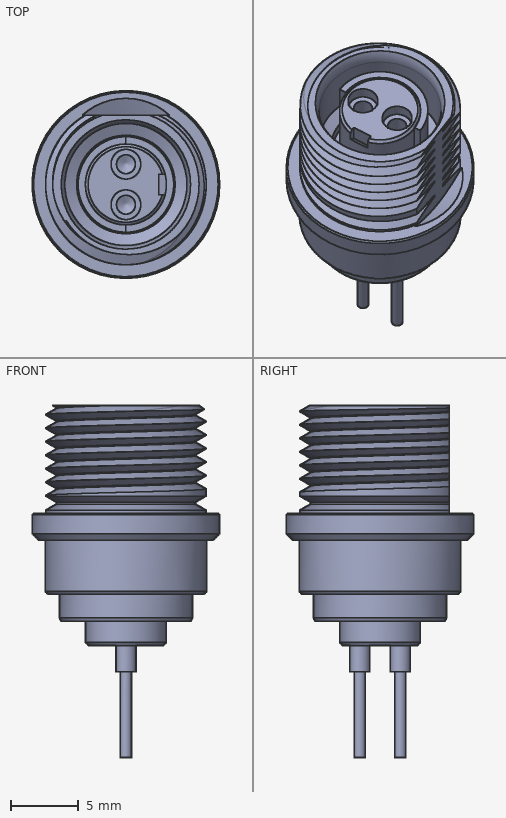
import cadquery as cq
import math


shell_top = 8.0
thread_radius = 5.95
root_radius = 5.17
thread_pitch = 1.0
root_flat = 0.08
flank_slope = math.tan(math.radians(30))
lead_in_radius = 5.42
lead_in_height = 0.42
thread_length = 6.45
thread_start_z = shell_top - thread_length
thread_start_angle = 90.0
thread_overrun = 1.0
cutter_clearance = 0.2
relief_root_bottom = 0.68
relief_root_top = 0.83
flat_y = 5.14
flange_radius = 6.95
flange_thickness = 2.0
flange_top_chamfer = 0.12
flange_bottom_chamfer = 0.5
barrel_radius = 6.0
barrel_bottom = -6.0
barrel_chamfer = 0.22

recess_center_y = 1.6
recess_radius = 4.78

cone_slope = math.tan(math.radians(30))

mouth_radius = 4.79
bore_radius = 4.52
mouth_depth = 1.0
bore_depth = 5.0
lower_bore_radius = 3.65

sleeve_radius = 4.94
sleeve_bottom = -8.0
sleeve_chamfer_width = 0.14
sleeve_chamfer_height = 0.25

insert_radius = 3.0
insert_setback = 0.83
insert_top = shell_top - insert_setback
insert_bottom = -9.8
insert_top_chamfer = 0.2
insert_bottom_chamfer = 0.24
key_depth_radial = 0.56
key_width = 1.5
key_outer_drop = 0.8

shield_radius = 3.54
shield_setback = 0.06
shield_top = insert_top - shield_setback
shield_floor = 2.0

contact_offset = 1.5
contact_radius = 1.1
contact_setback = 1.0
contact_top = insert_top - contact_setback
shoulder_height = 2.0
contact_bottom = insert_bottom + shoulder_height
socket_radius = 0.7
socket_depth = 2.0
socket_tip_depth = socket_radius * cone_slope
stem_radius = 0.75
stem_bottom = -11.75
tail_radius = 0.42
tail_bottom = -18.1


def cylinder(radius, bottom, top):
    return cq.Workplane("XY").workplane(offset=bottom).circle(radius).extrude(top - bottom)


def revolve_profile(points):
    """Turn a closed (radius, z) outline about the Z axis."""
    return cq.Workplane("XZ").polyline(points).close().revolve(360, (0, 0), (0, 1))


def thread_groove():
    """V groove on a right-hand helix, running out above the rim."""
    height = shell_top + thread_overrun - thread_start_z
    cutter_radius = thread_radius + cutter_clearance
    half_root = root_flat / 2
    half_mouth = half_root + (cutter_radius - root_radius) * flank_slope
    path = cq.Wire.makeHelix(thread_pitch, height, root_radius)
    groove = (
        cq.Workplane("XZ")
        .moveTo(root_radius, -half_root)
        .lineTo(root_radius, half_root)
        .lineTo(cutter_radius, half_mouth)
        .lineTo(cutter_radius, -half_mouth)
        .close()
        .sweep(cq.Workplane(path), isFrenet=True)
    )
    return groove.rotate((0, 0, 0), (0, 0, 1), thread_start_angle).translate((0, 0, thread_start_z))


def make_threaded_neck():
    relief_flank = (thread_radius - root_radius) * flank_slope
    neck = revolve_profile([
        (0, 0),
        (thread_radius, 0),
        (thread_radius, relief_root_bottom - relief_flank),
        (root_radius, relief_root_bottom),
        (root_radius, relief_root_top),
        (thread_radius, relief_root_top + relief_flank),
        (thread_radius, shell_top - lead_in_height),
        (lead_in_radius, shell_top),
        (0, shell_top),
    ])
    neck = neck.cut(thread_groove())
    waste = cq.Workplane("XY").box(
        2 * flange_radius, flange_radius, shell_top, centered=(True, False, False)
    )
    return neck.cut(waste.translate((0, flat_y, 0)))


def make_flange_and_barrel():
    flange_bottom = -flange_thickness
    return revolve_profile([
        (0, 0),
        (flange_radius - flange_top_chamfer, 0),
        (flange_radius, -flange_top_chamfer),
        (flange_radius, flange_bottom + flange_bottom_chamfer),
        (flange_radius - flange_bottom_chamfer, flange_bottom),
        (barrel_radius, flange_bottom),
        (barrel_radius, barrel_bottom + barrel_chamfer),
        (barrel_radius - barrel_chamfer, barrel_bottom),
        (0, barrel_bottom),
    ])


def flange_recess():
    """Conical recess in the flange, kept to the outer side of the flat."""
    depth = recess_radius * cone_slope
    cone = revolve_profile([(0, 0), (recess_radius, 0), (0, -depth)])
    outer_side = cq.Workplane("XY").box(
        2 * flange_radius, flange_radius, 2 * depth, centered=(True, False, True)
    )
    return cone.translate((0, recess_center_y, 0)).intersect(outer_side.translate((0, flat_y, 0)))


def shell_cavity():
    """Bell-mouthed bore narrowing through a cone to the lower bore."""
    flare = mouth_radius - bore_radius
    mouth_arc_radius = (flare**2 + mouth_depth**2) / (2 * flare)
    mouth_bottom = shell_top - mouth_depth
    cone_top = shell_top - bore_depth
    cone_bottom = cone_top - (bore_radius - lower_bore_radius) * cone_slope
    half_angle = math.asin(mouth_depth / mouth_arc_radius) / 2
    arc_middle = (
        bore_radius + mouth_arc_radius * (1 - math.cos(half_angle)),
        mouth_bottom + mouth_arc_radius * math.sin(half_angle),
    )
    return (
        cq.Workplane("XZ")
        .moveTo(0, barrel_bottom)
        .lineTo(lower_bore_radius, barrel_bottom)
        .lineTo(lower_bore_radius, cone_bottom)
        .lineTo(bore_radius, cone_top)
        .lineTo(bore_radius, mouth_bottom)
        .threePointArc(arc_middle, (mouth_radius, shell_top))
        .lineTo(0, shell_top)
        .close()
        .revolve(360, (0, 0), (0, 1))
    )


def make_shell():
    body = make_flange_and_barrel().cut(flange_recess())
    return body.union(make_threaded_neck()).cut(shell_cavity())


def make_sleeve():
    """Ring-shaped collar closing the rear of the shell around the insert."""
    return revolve_profile([
        (insert_radius, barrel_bottom),
        (sleeve_radius, barrel_bottom),
        (sleeve_radius, sleeve_bottom + sleeve_chamfer_height),
        (sleeve_radius - sleeve_chamfer_width, sleeve_bottom),
        (insert_radius, sleeve_bottom),
    ])


def make_shield():
    """Tube around the insert whose upper part is a half ring on the -X side."""
    tube = cylinder(shield_radius, barrel_bottom, shield_top)
    tube = tube.cut(cylinder(insert_radius, barrel_bottom, shield_top))
    open_side = cq.Workplane("XY").box(
        2 * shield_radius, 2 * shield_radius, shield_top, centered=(False, True, False)
    )
    return tube.cut(open_side.translate((0, 0, shield_floor)))


def key_notch():
    """Notch in the insert rim with a 45 degree floor falling toward the axis."""
    outer_floor = insert_top - key_outer_drop
    inner_x = insert_radius - key_depth_radial
    return (
        cq.Workplane("XZ")
        .moveTo(inner_x, insert_top)
        .lineTo(insert_radius, insert_top)
        .lineTo(insert_radius, outer_floor)
        .lineTo(inner_x, outer_floor - key_depth_radial)
        .close()
        .extrude(key_width / 2, both=True)
    )


def make_insert():
    insert = cylinder(insert_radius, insert_bottom, insert_top)
    insert = insert.faces(">Z").chamfer(insert_top_chamfer)
    insert = insert.faces("<Z").chamfer(insert_bottom_chamfer)
    insert = insert.cut(key_notch())
    for side in (1, -1):
        passage = cylinder(contact_radius, contact_bottom, insert_top)
        passage = passage.union(cylinder(stem_radius, insert_bottom, contact_bottom))
        insert = insert.cut(passage.translate((0, side * contact_offset, 0)))
    return insert


def make_contact(y):
    """Socket contact with a drilled mouth, a stem and a solder tail."""
    socket_bottom = contact_top - socket_depth
    contact = revolve_profile([
        (0, tail_bottom),
        (tail_radius, tail_bottom),
        (tail_radius, stem_bottom),
        (stem_radius, stem_bottom),
        (stem_radius, contact_bottom),
        (contact_radius, contact_bottom),
        (contact_radius, contact_top),
        (socket_radius, contact_top),
        (socket_radius, socket_bottom),
        (0, socket_bottom - socket_tip_depth),
    ])
    return contact.translate((0, y, 0))


shell = make_shell()
sleeve = make_sleeve()
shield = make_shield()
insert = make_insert()
contacts = [make_contact(side * contact_offset) for side in (1, -1)]

result = cq.Compound.makeCompound(
    [shell.val(), sleeve.val(), shield.val(), insert.val()] + [contact.val() for contact in contacts]
)